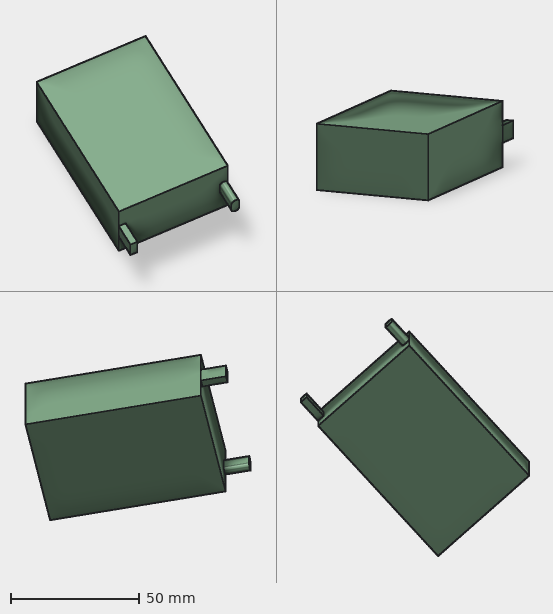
import cadquery as cq

total_length = 80.0
total_width = 48.0
height = 26.5

prong_length = 10.0
flat_prong_height = 7.0
flat_prong_thickness = 3.0
flat_prong_overhang = 0.1
round_prong_height = 7.2
round_prong_diameter = 3.5
round_prong_inset = 0.1

body_length = total_length - prong_length
body_width = total_width - flat_prong_overhang
flat_prong_y = -body_width / 2 - flat_prong_overhang + flat_prong_thickness / 2
round_prong_y = body_width / 2 - round_prong_inset - round_prong_diameter / 2


def make_body():
    """Plain block with one end at X = 0, centred on Y and Z."""
    return cq.Workplane("XY").box(body_length, body_width, height, centered=(False, True, True))


def prong_plane(center_y):
    """Sketch plane on the +X end of the body, centred on a prong."""
    return cq.Workplane("YZ", origin=(body_length, center_y, 0))


def make_flat_prong():
    """Rectangular prong along the -Y side."""
    return prong_plane(flat_prong_y).rect(flat_prong_thickness, flat_prong_height).extrude(prong_length)


def make_round_prong():
    """Prong with rounded top and bottom along the +Y side."""
    outline = prong_plane(round_prong_y).slot2D(round_prong_height, round_prong_diameter, 90)
    return outline.extrude(prong_length)


result = make_body().union(make_flat_prong()).union(make_round_prong())